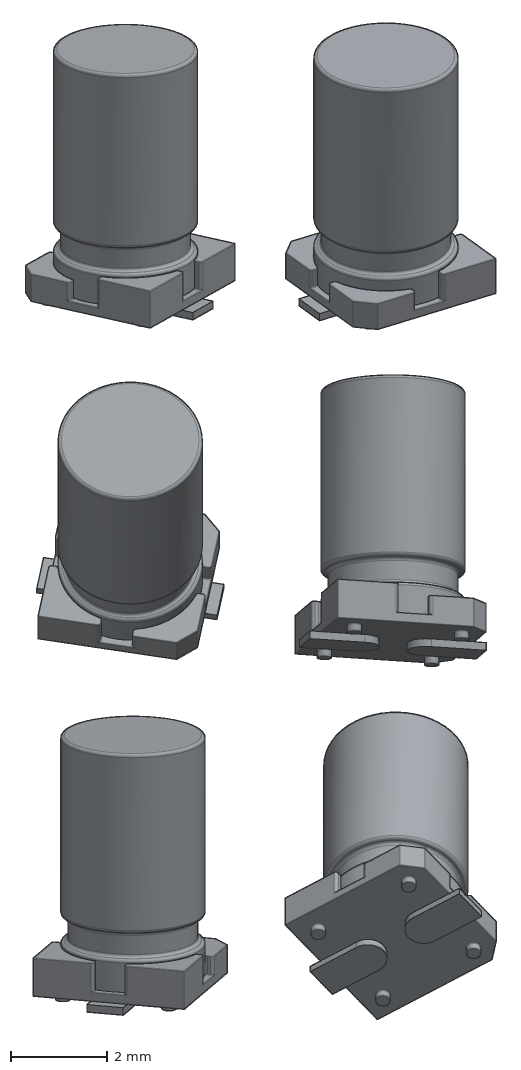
import cadquery as cq

HEIGHT = 5.5
LEAD_SPAN = 3.8
BASE_SIDE = 3.3
BASE_CHAMFER = 0.375
LEAD_THICKNESS = 0.165
FLOOR_Z = 0.37
LOW_WALL_Z = 0.78
HIGH_WALL_Z = 0.995
GAP_WIDTH = 0.665
GAP_ROUND = 0.065
CAN_DIAMETER = 3.0
NECK_DIAMETER = 2.7
NECK_MIDDLE_Z = 1.355
NECK_HEIGHT = 0.555
CAN_ROUND = 0.07
LEAD_WIDTH = 0.79
LEAD_GAP = 0.64
FOOT_DIAMETER = 0.3
FOOT_SPACING = 2.31
EDGE_BREAK = 0.014


def make_feet():
    """Four round feet level with the undersides of the leads."""
    return (
        cq.Workplane("XY")
        .rect(FOOT_SPACING, FOOT_SPACING, forConstruction=True)
        .vertices()
        .circle(FOOT_DIAMETER / 2)
        .extrude(LEAD_THICKNESS)
    )


def make_post(side_x, side_y):
    """One corner post of the wall, from the seat circle to the corner of the base."""
    top_z = HIGH_WALL_Z if side_x > 0 else LOW_WALL_Z
    half_gap = GAP_WIDTH / 2
    post_width = BASE_SIDE / 2 - half_gap
    post_center = half_gap + post_width / 2
    post = (
        cq.Workplane("XY", origin=(side_x * post_center, side_y * post_center, LEAD_THICKNESS))
        .rect(post_width, post_width)
        .extrude(top_z - LEAD_THICKNESS)
    )
    seat = cq.Workplane("XY").circle(CAN_DIAMETER / 2).extrude(HEIGHT)
    corner = (side_x * BASE_SIDE / 2, side_y * BASE_SIDE / 2, (LEAD_THICKNESS + top_z) / 2)
    corner_edge = cq.selectors.NearestToPointSelector(corner)
    upright_edges = cq.selectors.StringSyntaxSelector("|Z")
    return post.cut(seat).edges(upright_edges - corner_edge).fillet(GAP_ROUND)


def make_base():
    """Floor plate with feet below and four wall posts around the can."""
    base = (
        cq.Workplane("XY", origin=(0, 0, LEAD_THICKNESS))
        .rect(BASE_SIDE, BASE_SIDE)
        .extrude(FLOOR_Z - LEAD_THICKNESS)
    )
    for side_x in (-1, 1):
        for side_y in (-1, 1):
            base = base.union(make_post(side_x, side_y))
    base = base.edges("|Z and <X").chamfer(BASE_CHAMFER).union(make_feet())
    return base.edges().fillet(EDGE_BREAK)


def make_can():
    """Round can with a crimped neck and rounded rims."""
    height = HEIGHT - FLOOR_Z
    can = cq.Workplane("XY", origin=(0, 0, FLOOR_Z)).circle(CAN_DIAMETER / 2).extrude(height)
    neck_ring = (
        cq.Workplane("XY", origin=(0, 0, NECK_MIDDLE_Z - NECK_HEIGHT / 2))
        .circle(CAN_DIAMETER)
        .circle(NECK_DIAMETER / 2)
        .extrude(NECK_HEIGHT)
    )
    can = can.cut(neck_ring)
    all_but_foot = cq.selectors.StringSyntaxSelector("%CIRCLE") - cq.selectors.StringSyntaxSelector("<Z")
    return can.edges(all_but_foot).fillet(CAN_ROUND)


def make_lead(side):
    """Flat lead with a square outer end and a half-round inner end."""
    tip_x = side * LEAD_SPAN / 2
    inner_x = side * LEAD_GAP / 2
    tangent_x = inner_x + side * LEAD_WIDTH / 2
    return (
        cq.Workplane("XY")
        .moveTo(tip_x, -LEAD_WIDTH / 2)
        .lineTo(tangent_x, -LEAD_WIDTH / 2)
        .threePointArc((inner_x, 0), (tangent_x, LEAD_WIDTH / 2))
        .lineTo(tip_x, LEAD_WIDTH / 2)
        .close()
        .extrude(LEAD_THICKNESS)
    )


result = make_base().union(make_can())
for lead_side in (-1, 1):
    result = result.union(make_lead(lead_side))